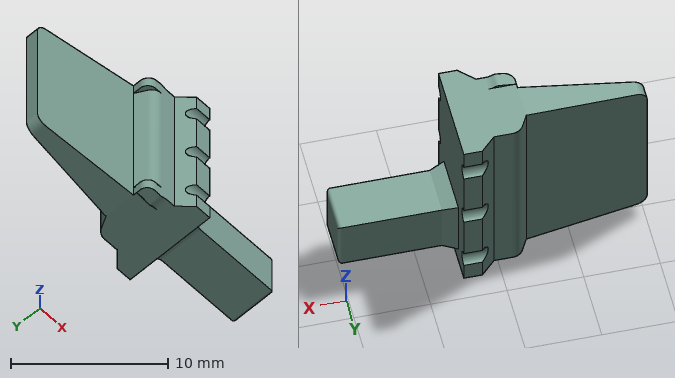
import cadquery as cq

total_length = 20.45
body_start = 8.08
body_end = 12.7
flange_start = 10.5
shank_start = 13.7

body_height = 12.02
flange_half_width = 3.5
neck_half_width = 2.5
bevel_length = 0.7
bevel_round = 0.84
flange_slope = flange_half_width - neck_half_width

root_half_thickness = 1.2
tip_half_thickness = 0.5
tip_height = 10.51
blade_corner_radius = 0.8

pad_height = 0.84
pad_round = 0.7

ridge_width = 1.0
ridge_apex_height = 0.16
ridge_apex_x = 1.196
ridge_foot_x = 1.64
ridge_base_length = 1.95
ridge_crest_round = 0.39
ridge_foot_round = 0.9

groove_radius = 0.57
groove_depth = 0.51
groove_pitch = 4.2

shank_z = -2.85
shank_width = 3.44
flare_width = 4.0
shank_end_round = 0.25


def make_body():
    half_profile = [
        (body_start, root_half_thickness),
        (body_start + bevel_length, neck_half_width),
        (flange_start, neck_half_width),
        (flange_start + flange_slope, flange_half_width),
        (body_end, flange_half_width),
    ]
    mirrored = [(x, -y) for x, y in reversed(half_profile)]
    body = cq.Workplane("XY").polyline(half_profile + mirrored).close()
    body = body.extrude(body_height / 2, both=True)
    bevel_corners = [(body_start + bevel_length, side * neck_half_width, 0) for side in (-1, 1)]
    for corner in bevel_corners:
        body = body.edges(cq.selectors.NearestToPointSelector(corner)).fillet(bevel_round)
    return body


def make_blade():
    outline = [
        (0, -tip_height / 2),
        (body_start, -body_height / 2),
        (body_start, body_height / 2),
        (0, tip_height / 2),
    ]
    plan = [
        (0, -tip_half_thickness),
        (body_start, -root_half_thickness),
        (body_start, root_half_thickness),
        (0, tip_half_thickness),
    ]
    side = cq.Workplane("XZ").polyline(outline).close().extrude(root_half_thickness, both=True)
    side = side.edges("|Y and <X").fillet(blade_corner_radius)
    wedge = cq.Workplane("XY").polyline(plan).close().extrude(body_height / 2, both=True)
    return side.intersect(wedge)


def make_pad(end):
    """Pad squaring off the front bevel at the upper (end=1) or lower (end=-1) end."""
    pad_length = bevel_length + bevel_round
    pad_depth = neck_half_width - root_half_thickness
    pad = cq.Workplane("XY").box(pad_length, pad_depth, pad_height, centered=False)
    pad = pad.edges("|Z and <X and <Y").fillet(pad_round)
    pad_bottom = body_height / 2 - pad_height
    pad = pad.translate((body_start, -neck_half_width, pad_bottom))
    return pad if end > 0 else pad.mirror("XY")


def make_ridge(end):
    """Low rounded ridge on the upper (end=1) or lower (end=-1) end of the body."""
    top = body_height / 2
    apex = (body_start + ridge_apex_x, top + ridge_apex_height)
    foot = (body_start + ridge_foot_x, top)
    base_end = body_start + ridge_base_length
    outline = [
        (body_start, top - pad_height),
        (body_start, top),
        apex,
        foot,
        (base_end, top),
        (base_end, top - pad_height),
    ]
    ridge = cq.Workplane("XZ", origin=(0, ridge_width - neck_half_width, 0))
    ridge = ridge.polyline(outline).close().extrude(ridge_width)
    for (x, z), radius in ((apex, ridge_crest_round), (foot, ridge_foot_round)):
        edge_middle = (x, ridge_width / 2 - neck_half_width, z)
        ridge = ridge.edges(cq.selectors.NearestToPointSelector(edge_middle)).fillet(radius)
    ridge = ridge.edges("|Z and <X and <Y").fillet(pad_round)
    return ridge if end > 0 else ridge.mirror("XY")


def make_grooves():
    centre_y = flange_half_width + groove_radius - groove_depth
    centres = [(side * centre_y, row * groove_pitch) for side in (-1, 1) for row in (-1, 0, 1)]
    return cq.Workplane("YZ").pushPoints(centres).circle(groove_radius).extrude(body_end)


def make_shank():
    flare = (
        cq.Workplane("YZ", origin=(body_end, 0, shank_z))
        .rect(flare_width, flare_width)
        .workplane(offset=shank_start - body_end)
        .rect(shank_width, shank_width)
        .loft()
    )
    bar = (
        cq.Workplane("YZ", origin=(shank_start, 0, shank_z))
        .rect(shank_width, shank_width)
        .extrude(total_length - shank_start)
        .faces(">X")
        .edges()
        .fillet(shank_end_round)
    )
    return flare.union(bar)


result = make_body()
for end in (-1, 1):
    result = result.union(make_pad(end)).union(make_ridge(end))
result = result.cut(make_grooves()).union(make_blade()).union(make_shank())